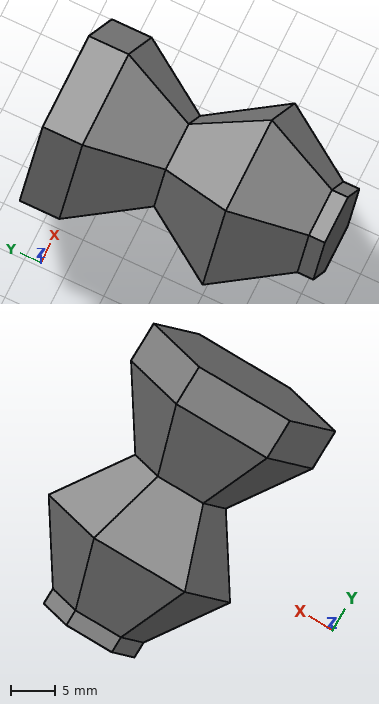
import cadquery as cq

total_length = 34.0
wide_across_corners = 24.0
narrow_across_corners = wide_across_corners / 2
base_length = 5.0
tip_length = 2.0
taper_count = 3
taper_length = (total_length - base_length - tip_length) / taper_count

segments = [
    (base_length, wide_across_corners, wide_across_corners),
    (taper_length, wide_across_corners, narrow_across_corners),
    (taper_length, narrow_across_corners, wide_across_corners),
    (taper_length, wide_across_corners, narrow_across_corners),
    (tip_length, narrow_across_corners, narrow_across_corners),
]


def hexagonal_segment(start_y, length, start_size, end_size):
    """Hexagonal prism or frustum running toward -Y, with corners on the X axis."""
    return (
        cq.Workplane("XZ", origin=(0, start_y, 0))
        .polygon(6, start_size)
        .workplane(offset=length)
        .polygon(6, end_size)
        .loft(ruled=True)
    )


result = cq.Workplane("XZ")
segment_y = total_length / 2
for length, start_size, end_size in segments:
    result = result.union(hexagonal_segment(segment_y, length, start_size, end_size))
    segment_y -= length